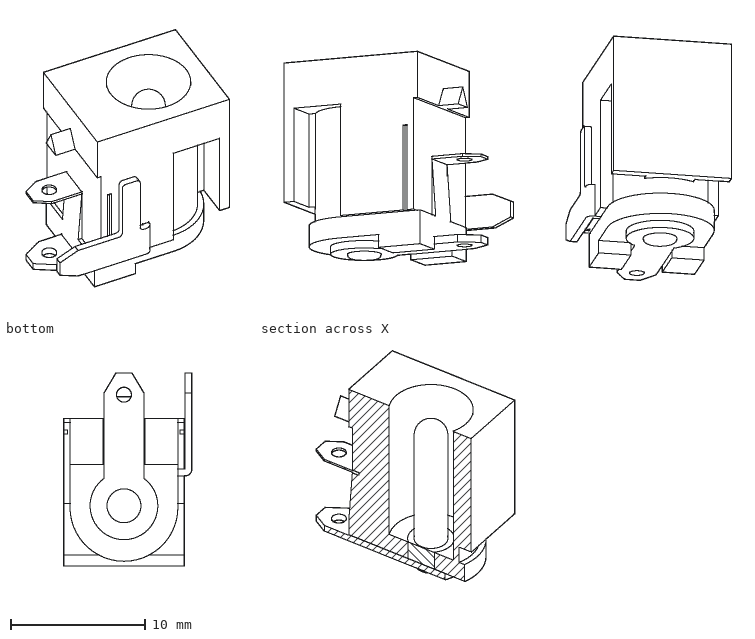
import cadquery as cq


height = 14.5
half_width = 4.5
rear_y = 4.5
front_y = -6.51
lug_tip_y = -9.9

head_bottom_z = 11.0
flange_top_z = 2.57
flange_bottom_z = 0.97
body_recess = 0.3
body_front_y = front_y + body_recess
round_center_y = 0.12
flange_radius = 4.02
barrel_radius = 3.55
body_rear_y = -0.19
foot_rear_y = -3.09
foot_notch_width = 3.1
bore_radius = 3.15

wall_thickness = 0.83
wall_bottom_z = 3.95
web_half_width = 1.87

marker_half_width = 0.8
marker_height = 1.42
marker_length = 1.61
groove_center_y = -5.5
groove_width = 0.32
groove_depth = 0.3
groove_top_z = 9.0

pin_radius = 1.26
pin_top_z = 13.4
pin_bottom_z = 0.13
pin_bottom_fillet = 0.26
collar_radius = 1.74

lug_taper_y = -8.4
lug_tip_half_width = 0.6
lug_hole_radius = 0.55
lug_hole_y = -8.26

terminal_bottom_z = 0.4
terminal_head_radius = 2.52
terminal_half_width = 1.5

contact_half_width = 1.3
contact_bottom_z = 6.9
contact_thickness = 0.2
contact_root_depth = 0.58
contact_root_y = body_front_y + contact_root_depth

switch_gap = 0.05
switch_thickness = 0.52
switch_inner_x = half_width + switch_gap
switch_outer_x = switch_inner_x + switch_thickness
switch_rear_y = -2.22
switch_top_z = 5.06
switch_tip_bottom_z = 3.2
switch_tip_top_z = 4.42
switch_root_depth = 0.87
switch_root_x = half_width - switch_root_depth
switch_bend_radius = 0.51
finger_rear_y = -3.22
finger_front_y = -4.71
finger_top_z = 10.0
finger_fillet = 0.3


def box(x_min, x_max, y_min, y_max, z_min, z_max):
    """Axis-aligned box between the given limits."""
    size = (x_max - x_min, y_max - y_min, z_max - z_min)
    return cq.Workplane("XY").box(*size, centered=False).translate((x_min, y_min, z_min))


def cylinder(radius, z_min, z_max, center_y=0.0):
    """Upright cylinder centered on X = 0."""
    return cq.Workplane("XY", origin=(0, center_y, z_min)).circle(radius).extrude(z_max - z_min)


def round_backed_block(radius, block_front_y, z_min, z_max):
    """Block with a half-round back that is tangent to its two sides."""
    return (
        cq.Workplane("XY", origin=(0, 0, z_min))
        .moveTo(-radius, block_front_y)
        .lineTo(radius, block_front_y)
        .lineTo(radius, round_center_y)
        .threePointArc((0, round_center_y + radius), (-radius, round_center_y))
        .close()
        .extrude(z_max - z_min)
    )


def lug(half_width_of_lug, root_y, z_min, thickness):
    """Flat lug from root_y to the common tip, with a tapered end and a wire hole."""
    taper_fraction = (half_width_of_lug - lug_tip_half_width) / (terminal_half_width - lug_tip_half_width)
    shoulder_y = lug_tip_y + taper_fraction * (lug_taper_y - lug_tip_y)
    plate = (
        cq.Workplane("XY", origin=(0, 0, z_min))
        .polyline([
            (-half_width_of_lug, root_y),
            (-half_width_of_lug, shoulder_y),
            (-lug_tip_half_width, lug_tip_y),
            (lug_tip_half_width, lug_tip_y),
            (half_width_of_lug, shoulder_y),
            (half_width_of_lug, root_y),
        ])
        .close()
        .extrude(thickness)
    )
    return plate.cut(cylinder(lug_hole_radius, z_min, z_min + thickness, lug_hole_y))


def make_pin():
    """Center pin with a ball end, a collar in the socket floor and a rounded lower end."""
    shank = cylinder(pin_radius, pin_bottom_z, pin_top_z - pin_radius)
    shank = shank.faces("<Z").edges().fillet(pin_bottom_fillet)
    ball = cq.Workplane("XY", origin=(0, 0, pin_top_z - pin_radius)).sphere(pin_radius)
    collar = cylinder(collar_radius, flange_bottom_z, flange_top_z)
    return shank.union(ball).union(collar)


def make_pin_terminal():
    """Round plate below the flange, held by the pin, that runs out into a solder lug."""
    thickness = flange_bottom_z - terminal_bottom_z
    head = cylinder(terminal_head_radius, terminal_bottom_z, flange_bottom_z)
    plate = head.union(lug(terminal_half_width, 0, terminal_bottom_z, thickness))
    return plate.cut(cylinder(pin_radius, terminal_bottom_z, flange_bottom_z))


def make_sleeve_contact():
    """Thin lug whose root sits in the front of the housing."""
    return lug(contact_half_width, contact_root_y, contact_bottom_z, contact_thickness)


def make_switch_terminal():
    """Side plate with an upright finger, a tapered lug and a rear end bent into the housing."""
    plate = (
        cq.Workplane("YZ", origin=(switch_inner_x, 0, 0))
        .polyline([
            (switch_rear_y, flange_top_z),
            (lug_taper_y, flange_top_z),
            (lug_tip_y, switch_tip_bottom_z),
            (lug_tip_y, switch_tip_top_z),
            (lug_taper_y, switch_top_z),
            (finger_front_y, switch_top_z),
            (finger_front_y, finger_top_z),
            (finger_rear_y, finger_top_z),
            (finger_rear_y, switch_top_z),
            (switch_rear_y, switch_top_z),
        ])
        .close()
        .extrude(switch_thickness)
    )
    for finger_y in (finger_front_y, finger_rear_y):
        for corner_z in (switch_top_z, finger_top_z):
            corner = cq.selectors.NearestToPointSelector(
                (switch_inner_x + switch_thickness / 2, finger_y, corner_z)
            )
            plate = plate.edges("|X").edges(corner).fillet(finger_fillet)
    root = box(
        switch_root_x, switch_outer_x,
        switch_rear_y - switch_thickness, switch_rear_y,
        flange_top_z, switch_top_z,
    )
    return plate.union(root).edges("|Z and >X and >Y").fillet(switch_bend_radius)


def make_housing_blank():
    """Outer shape of the housing, before the socket and the seats are cut."""
    head = box(-half_width, half_width, front_y, rear_y, head_bottom_z, height)
    body = box(-half_width, half_width, body_front_y, body_rear_y, flange_top_z, head_bottom_z)
    barrel = round_backed_block(barrel_radius, body_rear_y, flange_top_z, head_bottom_z)
    flange = round_backed_block(flange_radius, front_y, flange_bottom_z, flange_top_z)
    foot = box(-flange_radius, flange_radius, front_y, foot_rear_y, 0, flange_bottom_z)
    notch = box(
        -foot_notch_width / 2, foot_notch_width / 2, front_y, foot_rear_y, 0, flange_bottom_z
    )
    wall_front_y = rear_y - wall_thickness
    rear_wall = box(-half_width, half_width, wall_front_y, rear_y, wall_bottom_z, head_bottom_z)
    web = box(-web_half_width, web_half_width, round_center_y, rear_y, wall_bottom_z, head_bottom_z)
    blank = head
    for piece in (body, barrel, flange, foot.cut(notch), rear_wall, web):
        blank = blank.union(piece)
    return blank


def make_marker():
    """Triangular bar on the front of the head."""
    return (
        cq.Workplane("XZ", origin=(0, front_y, 0))
        .polyline([
            (-marker_half_width, head_bottom_z),
            (marker_half_width, head_bottom_z),
            (0, head_bottom_z + marker_height),
        ])
        .close()
        .extrude(marker_length)
    )


def make_ramp():
    """Wedge below the sleeve contact that leans out to the front of the flange."""
    return (
        cq.Workplane("YZ", origin=(-contact_half_width, 0, 0))
        .polyline([
            (body_front_y, contact_bottom_z),
            (front_y, flange_top_z),
            (body_front_y, flange_top_z),
        ])
        .close()
        .extrude(2 * contact_half_width)
    )


def make_side_groove(side):
    """Cutter for the narrow upright groove in one side; side is -1 or +1."""
    outer_x = side * half_width
    inner_x = side * (half_width - groove_depth)
    return box(
        min(outer_x, inner_x), max(outer_x, inner_x),
        groove_center_y - groove_width / 2, groove_center_y + groove_width / 2,
        flange_top_z, groove_top_z,
    )


def make_housing(inserts):
    """Housing with its socket, grooves and a matching seat for each inserted body."""
    body = make_housing_blank().union(make_marker()).union(make_ramp())
    body = body.cut(cylinder(bore_radius, flange_top_z, height))
    for side in (-1, 1):
        body = body.cut(make_side_groove(side))
    for insert in inserts:
        body = body.cut(insert)
    return body


pin = make_pin()
pin_terminal = make_pin_terminal()
sleeve_contact = make_sleeve_contact()
switch_terminal = make_switch_terminal()
housing = make_housing([pin, sleeve_contact, switch_terminal])

result = cq.Compound.makeCompound([
    housing.solids().val(),
    pin.solids().val(),
    pin_terminal.solids().val(),
    sleeve_contact.solids().val(),
    switch_terminal.solids().val(),
])